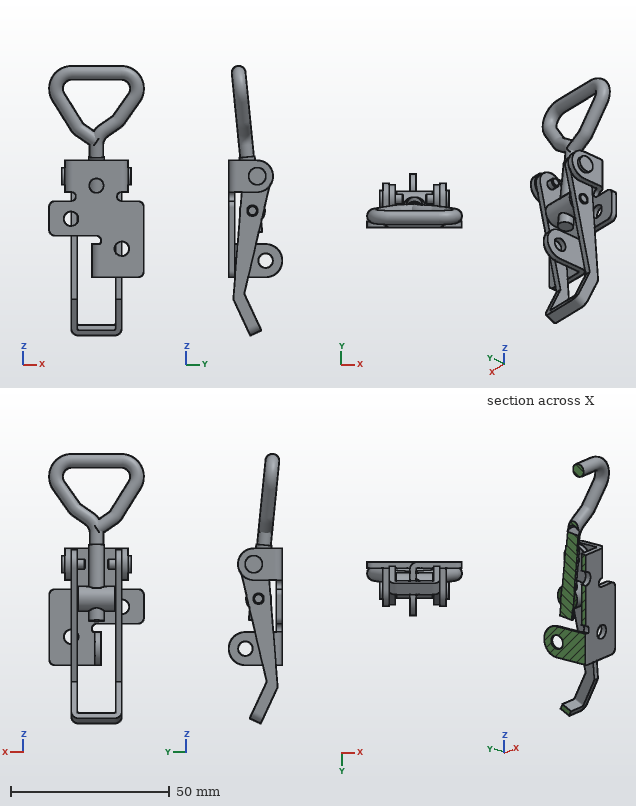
import cadquery as cq
import math


TOTAL_HEIGHT = 85.3
LATCH_BOTTOM = -42.55
LATCH_TOP = LATCH_BOTTOM + TOTAL_HEIGHT

SHEET = 2.0
INNER_BEND = 0.5
OUTER_BEND = INNER_BEND + SHEET

PLATE_HALF_WIDTH = 15.0
PLATE_BOTTOM = -24.1
LEFT_WING_BOTTOM = -11.0
PLATE_CORNER = 2.0
EAR_OUTER_X = 10.0
EAR_RADIUS = 5.0
EAR_BOTTOM = 2.8
EAR_TOP = EAR_BOTTOM + 2 * EAR_RADIUS
RELIEF_RADIUS = EAR_BOTTOM / 2
RELIEF_TIP_X = 6.5
MOUNT_HOLE_DIAMETER = 4.5
MOUNT_HOLES = [(0, 4.9), (-8.0, -5.6), (8.0, -15.1)]

TAB_OUTER_X = -1.45
TAB_RADIUS = 5.3
TAB_TIP_Y = 17.0
TAB_CENTER_Y = TAB_TIP_Y - TAB_RADIUS
TAB_CENTER_Z = PLATE_BOTTOM + TAB_RADIUS
TAB_TOP = PLATE_BOTTOM + 2 * TAB_RADIUS
TAB_HOLE_DIAMETER = 4.5
TAB_RELIEF_TIP_X = 1.45
TAB_RELIEF_RADIUS = 1.5

PIVOT_Y = 9.0
PIVOT_Z = EAR_BOTTOM + EAR_RADIUS
RIVET_RADIUS = 1.5
RIVET_HEAD_RADIUS = 2.7
RIVET_HEAD_THICKNESS = 1.0
RIVET_TAIL_X = 3.6
RIVET_TAIL_CHAMFER = 0.3

LEVER_HALF_WIDTH = EAR_OUTER_X - SHEET
LEVER_TOP_RADIUS = 4.5
KNEE_FRONT = (1.45, -31.0)
HANDLE_ANGLE = math.radians(25)
HANDLE_WIDTH = 3.9
HANDLE_FRONT_LENGTH = (KNEE_FRONT[1] - LATCH_BOTTOM) / math.cos(HANDLE_ANGLE)
HANDLE_BACK_LENGTH = 12.8

TRUNNION_Y = 7.5
TRUNNION_Z = -3.1
TRUNNION_RADIUS = 4.0
TRUNNION_HALF_LENGTH = 5.7
TRUNNION_PIN_RADIUS = 1.7
TRUNNION_PIN_CHAMFER = 0.3
BOLT_HOLE_CHAMFER = 0.85

BOLT_TILT = math.radians(5.7)
WIRE_RADIUS = 2.2
THREAD_RADIUS = 2.5
THREAD_BOTTOM = -7.0
THREAD_TOP = 17.05
RING_TOP = (LATCH_TOP - WIRE_RADIUS - TRUNNION_Z) / math.cos(BOLT_TILT)
RING_PATH_RADIUS = 5.0
ELBOW_RADIUS = 3.4
NECK_RADIUS = 5.4
NECK_CORNER = (0, 23.8)
RIGHT_ELBOW = (6.7, 28.5)
RIGHT_CORNER = (17.5, RING_TOP)
LEFT_CORNER = (-16.8, RING_TOP)
LEFT_ELBOW = (-5.8, 26.1)
RING_END = (0, 22.1)


def x_cylinder(radius, x_start, x_end, y, z):
    """Cylinder along X between two X positions."""
    return (
        cq.Workplane("YZ", origin=(x_start, 0, 0))
        .center(y, z)
        .circle(radius)
        .extrude(x_end - x_start)
    )


def rounded_lug(center_y, center_z, radius, x_start):
    """Sheet lug standing up from Y = 0 with a full-round end."""
    return (
        cq.Workplane("YZ", origin=(x_start, 0, 0))
        .moveTo(0, center_z - radius)
        .lineTo(center_y, center_z - radius)
        .threePointArc((center_y + radius, center_z), (center_y, center_z + radius))
        .lineTo(0, center_z + radius)
        .close()
        .extrude(SHEET)
    )


def flat_plate():
    """Flat sheet with its wings and the open corner above the padlock tab."""
    neck = cq.Workplane("XY").box(
        2 * EAR_OUTER_X, SHEET, EAR_TOP, centered=(True, False, False)
    )
    wings = cq.Workplane("XY", origin=(0, 0, PLATE_BOTTOM)).box(
        2 * PLATE_HALF_WIDTH, SHEET, -PLATE_BOTTOM, centered=(True, False, False)
    )
    corner_cut = cq.Workplane("XY", origin=(-PLATE_HALF_WIDTH, 0, PLATE_BOTTOM)).box(
        PLATE_HALF_WIDTH + TAB_OUTER_X, SHEET, LEFT_WING_BOTTOM - PLATE_BOTTOM, centered=False
    )
    wings = wings.cut(corner_cut)
    wings = wings.edges("|Y and (<X or >X)").fillet(PLATE_CORNER)

    return neck.union(wings).cut(tab_relief())


def tab_relief():
    """Notch between the left wing and the padlock tab, ending in a large arc."""
    center_x = TAB_RELIEF_TIP_X - TAB_RELIEF_RADIUS
    height = LEFT_WING_BOTTOM - TAB_TOP
    notch = cq.Workplane("XY", origin=(TAB_OUTER_X, 0, TAB_TOP)).box(
        TAB_RELIEF_TIP_X - TAB_OUTER_X, SHEET, height, centered=False
    )
    round_end = (
        cq.Workplane("XZ")
        .center(center_x, LEFT_WING_BOTTOM - TAB_RELIEF_RADIUS)
        .circle(TAB_RELIEF_RADIUS)
        .extrude(-SHEET)
    )
    mouth = cq.Workplane("XY", origin=(TAB_OUTER_X, 0, TAB_TOP)).box(
        center_x - TAB_OUTER_X, SHEET, height, centered=False
    )
    return notch.intersect(round_end.union(mouth))


def ear_relief(side):
    """Round-ended notch below an ear; side is -1 for left, 1 for right."""
    center_x = side * (RELIEF_TIP_X + RELIEF_RADIUS)
    round_end = (
        cq.Workplane("XZ")
        .center(center_x, RELIEF_RADIUS)
        .circle(RELIEF_RADIUS)
        .extrude(-SHEET)
    )
    mouth = (
        cq.Workplane("XZ")
        .center(center_x + side * EAR_OUTER_X / 2, RELIEF_RADIUS)
        .rect(EAR_OUTER_X, 2 * RELIEF_RADIUS)
        .extrude(-SHEET)
    )
    return round_end.union(mouth)


def bend_inner_fillet(x_face, direction, z_bottom, z_top):
    """Web filling the inside corner between the sheet and a lug face at x_face."""
    tip_x = x_face + direction * INNER_BEND
    diagonal = INNER_BEND * (1 - math.sqrt(0.5))
    return (
        cq.Workplane("XY", origin=(0, 0, z_bottom))
        .moveTo(x_face, SHEET)
        .lineTo(tip_x, SHEET)
        .threePointArc(
            (x_face + direction * diagonal, SHEET + diagonal), (x_face, SHEET + INNER_BEND)
        )
        .close()
        .extrude(z_top - z_bottom)
    )


def make_base():
    base = flat_plate()
    for x_start in (-EAR_OUTER_X, EAR_OUTER_X - SHEET):
        base = base.union(rounded_lug(PIVOT_Y, PIVOT_Z, EAR_RADIUS, x_start))
    base = base.union(rounded_lug(TAB_CENTER_Y, TAB_CENTER_Z, TAB_RADIUS, TAB_OUTER_X))
    for side in (-1, 1):
        base = base.cut(ear_relief(side))

    bend_lines = [
        (-EAR_OUTER_X, PIVOT_Z),
        (EAR_OUTER_X, PIVOT_Z),
        (TAB_OUTER_X, TAB_CENTER_Z),
    ]
    for x, z in bend_lines:
        bend_edge = cq.selectors.NearestToPointSelector((x, 0, z))
        base = base.edges("|Z").edges(bend_edge).fillet(OUTER_BEND)

    base = base.union(bend_inner_fillet(-LEVER_HALF_WIDTH, 1, EAR_BOTTOM, EAR_TOP))
    base = base.union(bend_inner_fillet(LEVER_HALF_WIDTH, -1, EAR_BOTTOM, EAR_TOP))
    base = base.union(bend_inner_fillet(TAB_OUTER_X + SHEET, 1, PLATE_BOTTOM, TAB_TOP))

    mount_holes = (
        cq.Workplane("XZ").pushPoints(MOUNT_HOLES).circle(MOUNT_HOLE_DIAMETER / 2).extrude(-SHEET)
    )
    rivet_holes = x_cylinder(RIVET_RADIUS, -EAR_OUTER_X, EAR_OUTER_X, PIVOT_Y, PIVOT_Z)
    tab_hole = x_cylinder(
        TAB_HOLE_DIAMETER / 2, TAB_OUTER_X, TAB_OUTER_X + SHEET, TAB_CENTER_Y, TAB_CENTER_Z
    )
    return base.cut(mount_holes).cut(rivet_holes).cut(tab_hole)


def tangent_point(point, side):
    """Point where a line from point touches the lever's top round; side picks which tangent."""
    dy = point[0] - PIVOT_Y
    dz = point[1] - PIVOT_Z
    angle = math.atan2(dz, dy) + side * math.acos(LEVER_TOP_RADIUS / math.hypot(dy, dz))
    return (
        PIVOT_Y + LEVER_TOP_RADIUS * math.cos(angle),
        PIVOT_Z + LEVER_TOP_RADIUS * math.sin(angle),
    )


def round_cornered_block(half_width, end_inset, corner_radius, reach, plane):
    """Long block whose closed end, inset from the plane's X axis, has two rounded corners."""
    block = (
        cq.Workplane("XY")
        .center(0, -end_inset - reach / 2)
        .rect(2 * half_width, reach)
        .extrude(reach / 2, both=True)
        .edges("|Z and >Y")
        .fillet(corner_radius)
    )
    return cq.Workplane(block.val().moved(cq.Location(plane)))


def make_lever():
    along = (math.sin(HANDLE_ANGLE), -math.cos(HANDLE_ANGLE))
    across = (math.cos(HANDLE_ANGLE), math.sin(HANDLE_ANGLE))
    end_front = tuple(KNEE_FRONT[i] + HANDLE_FRONT_LENGTH * along[i] for i in (0, 1))
    end_back = tuple(end_front[i] + HANDLE_WIDTH * across[i] for i in (0, 1))
    knee_back = tuple(end_back[i] - HANDLE_BACK_LENGTH * along[i] for i in (0, 1))

    side_shape = (
        cq.Workplane("YZ", origin=(-LEVER_HALF_WIDTH, 0, 0))
        .moveTo(*end_front)
        .lineTo(*end_back)
        .lineTo(*knee_back)
        .lineTo(*tangent_point(knee_back, 1))
        .threePointArc((PIVOT_Y, PIVOT_Z + LEVER_TOP_RADIUS), tangent_point(KNEE_FRONT, -1))
        .lineTo(*KNEE_FRONT)
        .close()
        .extrude(2 * LEVER_HALF_WIDTH)
    )

    reach = 2 * (PIVOT_Z - end_front[1])
    handle_plane = cq.Plane(origin=(0, *end_front), xDir=(1, 0, 0), normal=(0, *across))
    outer = round_cornered_block(LEVER_HALF_WIDTH, 0, OUTER_BEND, reach, handle_plane)
    inner = round_cornered_block(LEVER_HALF_WIDTH - SHEET, SHEET, INNER_BEND, reach, handle_plane)
    rivet_holes = x_cylinder(RIVET_RADIUS, -LEVER_HALF_WIDTH, LEVER_HALF_WIDTH, PIVOT_Y, PIVOT_Z)
    pin_holes = x_cylinder(
        TRUNNION_PIN_RADIUS, -LEVER_HALF_WIDTH, LEVER_HALF_WIDTH, TRUNNION_Y, TRUNNION_Z
    )
    return side_shape.intersect(outer).cut(inner).cut(rivet_holes).cut(pin_holes)


def make_rivet(side):
    """Headed rivet joining one ear to one lever arm; side is -1 for left, 1 for right."""
    head_x = side * EAR_OUTER_X
    head_end_x = head_x + side * RIVET_HEAD_THICKNESS
    shank = x_cylinder(RIVET_RADIUS, side * RIVET_TAIL_X, head_end_x, PIVOT_Y, PIVOT_Z)
    tail_face = "<X" if side > 0 else ">X"
    shank = shank.faces(tail_face).chamfer(RIVET_TAIL_CHAMFER)
    head = x_cylinder(RIVET_HEAD_RADIUS, head_x, head_end_x, PIVOT_Y, PIVOT_Z)
    return shank.union(head)


def bolt_plane(distance):
    """Plane square to the bolt axis at a distance along it from the trunnion axis."""
    axis = (0, -math.sin(BOLT_TILT), math.cos(BOLT_TILT))
    origin = (0, TRUNNION_Y + distance * axis[1], TRUNNION_Z + distance * axis[2])
    return cq.Plane(origin=origin, xDir=(1, 0, 0), normal=axis)


def bolt_thread():
    return (
        cq.Workplane(bolt_plane(THREAD_BOTTOM))
        .circle(THREAD_RADIUS)
        .extrude(THREAD_TOP - THREAD_BOTTOM)
    )


def make_trunnion():
    barrel = x_cylinder(
        TRUNNION_RADIUS, -TRUNNION_HALF_LENGTH, TRUNNION_HALF_LENGTH, TRUNNION_Y, TRUNNION_Z
    )
    pins = x_cylinder(
        TRUNNION_PIN_RADIUS, -LEVER_HALF_WIDTH, LEVER_HALF_WIDTH, TRUNNION_Y, TRUNNION_Z
    )
    pins = pins.faces("<X or >X").chamfer(TRUNNION_PIN_CHAMFER)
    countersink_height = TRUNNION_RADIUS - BOLT_HOLE_CHAMFER
    countersink = (
        cq.Workplane(bolt_plane(countersink_height))
        .circle(THREAD_RADIUS)
        .workplane(offset=BOLT_HOLE_CHAMFER)
        .circle(THREAD_RADIUS + BOLT_HOLE_CHAMFER)
        .loft()
    )
    return barrel.union(pins).cut(bolt_thread()).cut(countersink)


def rounded_path(plane, start, corners, end):
    """Open wire path through the corners, each given as (point, bend radius)."""
    path = cq.Workplane(plane).moveTo(*start)
    points = [start] + [point for point, _ in corners] + [end]
    for i, (corner, radius) in enumerate(corners, start=1):
        directions = []
        for neighbour in (points[i - 1], points[i + 1]):
            dx = neighbour[0] - corner[0]
            dy = neighbour[1] - corner[1]
            length = math.hypot(dx, dy)
            directions.append((dx / length, dy / length))
        (ax, ay), (bx, by) = directions
        half_angle = math.acos(ax * bx + ay * by) / 2
        setback = radius / math.tan(half_angle)
        mid_distance = radius / math.sin(half_angle) - radius
        bisector_length = math.hypot(ax + bx, ay + by)
        middle = (
            corner[0] + mid_distance * (ax + bx) / bisector_length,
            corner[1] + mid_distance * (ay + by) / bisector_length,
        )
        path = path.lineTo(corner[0] + setback * ax, corner[1] + setback * ay)
        path = path.threePointArc(middle, (corner[0] + setback * bx, corner[1] + setback * by))
    return path.lineTo(*end)


def make_bolt():
    base_plane = bolt_plane(0)
    ring_plane = cq.Plane(
        origin=base_plane.origin, xDir=(1, 0, 0), normal=base_plane.yDir * -1
    )
    corners = [
        (NECK_CORNER, NECK_RADIUS),
        (RIGHT_ELBOW, ELBOW_RADIUS),
        (RIGHT_CORNER, RING_PATH_RADIUS),
        (LEFT_CORNER, RING_PATH_RADIUS),
        (LEFT_ELBOW, ELBOW_RADIUS),
    ]
    path = rounded_path(ring_plane, (0, THREAD_TOP), corners, RING_END)
    ring = cq.Workplane(bolt_plane(THREAD_TOP)).circle(WIRE_RADIUS).sweep(path)
    return bolt_thread().union(ring)


base = make_base()
lever = make_lever()
trunnion = make_trunnion()
bolt = make_bolt()
rivets = [make_rivet(side) for side in (-1, 1)]

result = cq.Compound.makeCompound(
    [base.val(), lever.val(), trunnion.val(), bolt.val(), *[rivet.val() for rivet in rivets]]
)